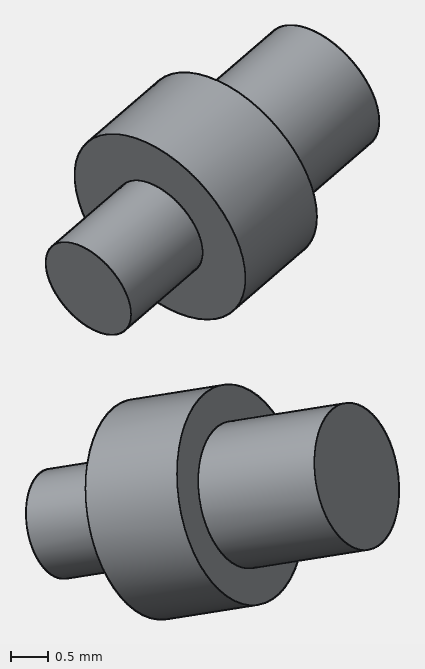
import cadquery as cq

total_length = 4.9
front_pin_diameter = 1.5
collar_diameter = 2 * front_pin_diameter
rear_pin_diameter = 2.0
front_pin_length = 1.5
collar_length = 1.5
rear_pin_length = total_length - front_pin_length - collar_length


def cylinder_along_y(diameter, start_y, length):
    """Solid cylinder on the Y axis running from start_y toward +Y."""
    plane = cq.Plane(origin=(0, start_y, 0), xDir=(1, 0, 0), normal=(0, 1, 0))
    return cq.Workplane(plane).circle(diameter / 2).extrude(length)


front_end_y = -total_length / 2
collar_start_y = front_end_y + front_pin_length
rear_pin_start_y = collar_start_y + collar_length

front_pin = cylinder_along_y(front_pin_diameter, front_end_y, front_pin_length)
collar = cylinder_along_y(collar_diameter, collar_start_y, collar_length)
rear_pin = cylinder_along_y(rear_pin_diameter, rear_pin_start_y, rear_pin_length)

result = front_pin.union(collar).union(rear_pin)